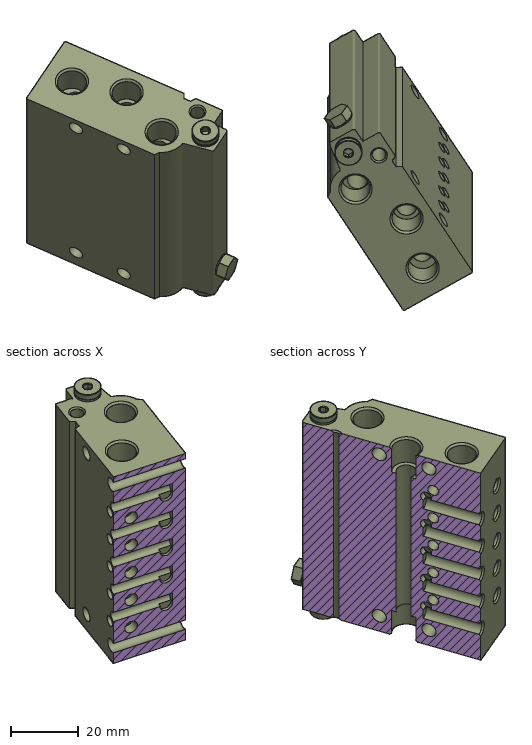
import cadquery as cq
import math

HEIGHT = 71.6
DEPTH = 23.9
NOSE_X = 57.7
NOSE_TOP_Y = 18.2
NOSE_FRONT_Y = 9.4
SHOULDER_X = 52.9
FRONT_FACE_END_X = 43.0
CORNER_RADIUS = 0.5
NOSE_CORNER_RADIUS = 0.7

GROOVE_LEFT_X = 40.0
GROOVE_RIGHT_X = 43.8
GROOVE_DEPTH = 1.6
GROOVE_SIDE_RUN = 0.85

SUPPLY_BORES = [
    ((8.85, 11.9), (9.85, 12.3)),
    ((24.9, 16.2), (24.9, 16.2)),
    ((40.9, 8.3), (39.7, 8.3)),
]
SUPPLY_ENTRY_DIAMETER = 8.55
SUPPLY_ENTRY_DEPTH = 9.25
SUPPLY_THROUGH_DIAMETER = 6.0
SUPPLY_CHAMFER = 0.6

LOBE_X, LOBE_Y = SUPPLY_BORES[-1][0]
LOBE_RADIUS = 7.5
LOBE_NOSE_ANGLE = -5.0
LOBE_FRONT_ANGLE = -66.0

PILOT_X = 46.6
PILOT_Y = 19.9
PILOT_DIAMETER = 4.0
PILOT_CHAMFER = 0.5

MOUNT_DIAMETER = 4.5
MOUNT_XS = (16.7, 32.7)
MOUNT_ZS = (5.9, 67.7)

PORT_DIAMETER = 4.0
PORT_CHAMFER = 0.55
PORT_COUNT = 5
PORT_PITCH = 10.5
CROSS_BORE_DIAMETER = 3.4
CROSS_BORE_SETBACK = 0.85
FRONT_ROW = {"y": 6.4, "first_z": 16.0, "depth": 16.2, "cross_rise": 1.85}
BACK_ROW = {"y": 18.0, "first_z": 11.85, "depth": 18.5, "cross_rise": 2.7}

PLUG_X = 52.9
PLUG_Y = 13.2
PLUG_HEAD_DIAMETER = 8.0
PLUG_NECK_DIAMETER = 7.85
PLUG_NECK_HEIGHT = 0.8
PLUG_HEIGHT = 2.7
PLUG_EDGE_CHAMFER = 0.15
SOCKET_FLATS = 2.5
SOCKET_DEPTH = 2.0
SOCKET_MOUTH_DIAMETER = 3.0

SCREW_Z = 10.25
SCREW_Y = 13.85
SCREW_FLATS = 6.85
SCREW_COLLAR_HEIGHT = 0.4
SCREW_LENGTH = 3.55
SCREW_CHAMFER_ANGLE = 30.0


def corner_diameter(across_flats):
    return across_flats / math.cos(math.radians(30))


def lobe_point(angle):
    turn = math.radians(angle)
    return (LOBE_X + LOBE_RADIUS * math.cos(turn), LOBE_Y + LOBE_RADIUS * math.sin(turn))


def make_block():
    """Extruded outline with rounded vertical edges at the port face, at the shoulder and at the nose."""
    middle_angle = (LOBE_NOSE_ANGLE + LOBE_FRONT_ANGLE) / 2
    groove_y = DEPTH - GROOVE_DEPTH
    block = (
        cq.Workplane("XY")
        .moveTo(0, 0)
        .lineTo(FRONT_FACE_END_X, 0)
        .lineTo(*lobe_point(LOBE_FRONT_ANGLE))
        .threePointArc(lobe_point(middle_angle), lobe_point(LOBE_NOSE_ANGLE))
        .lineTo(NOSE_X, NOSE_FRONT_Y)
        .lineTo(NOSE_X, NOSE_TOP_Y)
        .lineTo(SHOULDER_X, NOSE_TOP_Y)
        .lineTo(SHOULDER_X, DEPTH)
        .lineTo(GROOVE_RIGHT_X, DEPTH)
        .lineTo(GROOVE_RIGHT_X - GROOVE_SIDE_RUN, groove_y)
        .lineTo(GROOVE_LEFT_X + GROOVE_SIDE_RUN, groove_y)
        .lineTo(GROOVE_LEFT_X, DEPTH)
        .lineTo(0, DEPTH)
        .close()
        .extrude(HEIGHT)
    )
    rounded_corners = [
        (0, 0, CORNER_RADIUS),
        (0, DEPTH, CORNER_RADIUS),
        (*lobe_point(LOBE_NOSE_ANGLE), CORNER_RADIUS),
        (NOSE_X, NOSE_FRONT_Y, NOSE_CORNER_RADIUS),
        (NOSE_X, NOSE_TOP_Y, NOSE_CORNER_RADIUS),
        (SHOULDER_X, DEPTH, CORNER_RADIUS),
    ]
    for x, y, radius in rounded_corners:
        edge = cq.selectors.NearestToPointSelector((x, y, HEIGHT / 2))
        block = block.edges(edge).fillet(radius)
    return block


def bore(start, direction, diameter, depth):
    return cq.Solid.makeCylinder(diameter / 2, depth, cq.Vector(*start), cq.Vector(*direction))


def chamfered_bore(start, direction, diameter, depth, chamfer):
    """Cylindrical bore widened by a 45 degree chamfer at its start."""
    cone = cq.Solid.makeCone(
        diameter / 2 + chamfer, diameter / 2, chamfer, cq.Vector(*start), cq.Vector(*direction)
    )
    return bore(start, direction, diameter, depth).fuse(cone)


def cut_vertical_bores(block):
    """Through bores, entered from both end faces."""
    ends = [(HEIGHT, (0, 0, -1)), (0, (0, 0, 1))]
    for (entry_x, entry_y), (through_x, through_y) in SUPPLY_BORES:
        block = block.cut(bore((through_x, through_y, 0), (0, 0, 1), SUPPLY_THROUGH_DIAMETER, HEIGHT))
        for z, inward in ends:
            entry = chamfered_bore(
                (entry_x, entry_y, z), inward, SUPPLY_ENTRY_DIAMETER, SUPPLY_ENTRY_DEPTH, SUPPLY_CHAMFER
            )
            block = block.cut(entry)
    for z, inward in ends:
        pilot = chamfered_bore((PILOT_X, PILOT_Y, z), inward, PILOT_DIAMETER, HEIGHT, PILOT_CHAMFER)
        block = block.cut(pilot)
    return block


def cut_mounting_holes(block):
    for x in MOUNT_XS:
        for z in MOUNT_ZS:
            block = block.cut(bore((x, 0, z), (0, 1, 0), MOUNT_DIAMETER, DEPTH))
    return block


def cut_port_row(block, row):
    """Blind ports along X, each with a cross bore that runs past it from the back face."""
    cross_x = row["depth"] - CROSS_BORE_SETBACK
    cross_depth = DEPTH - row["y"] + PORT_DIAMETER / 2
    for i in range(PORT_COUNT):
        z = row["first_z"] + i * PORT_PITCH
        port = chamfered_bore((0, row["y"], z), (1, 0, 0), PORT_DIAMETER, row["depth"], PORT_CHAMFER)
        cross_start = (cross_x, DEPTH, z + row["cross_rise"])
        cross = bore(cross_start, (0, -1, 0), CROSS_BORE_DIAMETER, cross_depth)
        block = block.cut(port).cut(cross)
    return block


def make_manifold():
    block = make_block()
    block = cut_vertical_bores(block)
    block = cut_mounting_holes(block)
    for row in (FRONT_ROW, BACK_ROW):
        block = cut_port_row(block, row)
    return block


def make_plug(seat_z, direction):
    """Round plug with a neck and a hex socket, seated at seat_z and pointing along +Z or -Z."""
    neck = cq.Workplane("XY").circle(PLUG_NECK_DIAMETER / 2).extrude(PLUG_NECK_HEIGHT)
    head = (
        cq.Workplane("XY", origin=(0, 0, PLUG_NECK_HEIGHT))
        .circle(PLUG_HEAD_DIAMETER / 2)
        .extrude(PLUG_HEIGHT - PLUG_NECK_HEIGHT)
        .faces(">Z")
        .edges()
        .chamfer(PLUG_EDGE_CHAMFER)
    )
    socket = (
        cq.Workplane("XY", origin=(0, 0, PLUG_HEIGHT))
        .transformed(rotate=(0, 0, 90))
        .polygon(6, corner_diameter(SOCKET_FLATS))
        .extrude(-SOCKET_DEPTH)
    )
    mouth = cq.Solid.makeCone(
        SOCKET_MOUTH_DIAMETER / 2,
        SOCKET_FLATS / 2,
        (SOCKET_MOUTH_DIAMETER - SOCKET_FLATS) / 2,
        cq.Vector(0, 0, PLUG_HEIGHT),
        cq.Vector(0, 0, -1),
    )
    plug = neck.union(head).cut(socket).cut(mouth)
    if direction < 0:
        plug = plug.mirror("XY")
    return plug.translate((PLUG_X, PLUG_Y, seat_z))


def make_screw():
    """Hex head along +X on a round collar, with its corners turned down next to the collar."""
    collar_radius = SCREW_FLATS / 2
    corner_radius = corner_diameter(SCREW_FLATS) / 2
    turn_down = (corner_radius - collar_radius) * math.tan(math.radians(SCREW_CHAMFER_ANGLE))
    hexagon = cq.Workplane("YZ").polygon(6, 2 * corner_radius).extrude(SCREW_LENGTH)
    turned_profile = (
        cq.Workplane("XY")
        .polyline([
            (0, 0),
            (0, collar_radius),
            (SCREW_COLLAR_HEIGHT, collar_radius),
            (SCREW_COLLAR_HEIGHT + turn_down, corner_radius),
            (SCREW_LENGTH, corner_radius),
            (SCREW_LENGTH, 0),
        ])
        .close()
        .revolve(360, (0, 0, 0), (1, 0, 0))
    )
    return hexagon.intersect(turned_profile).translate((NOSE_X, SCREW_Y, SCREW_Z))


manifold = make_manifold()
plugs = [make_plug(HEIGHT, 1), make_plug(0, -1)]
screw = make_screw()

result = cq.Compound.makeCompound([
    manifold.val(),
    *[plug.val() for plug in plugs],
    screw.val(),
])